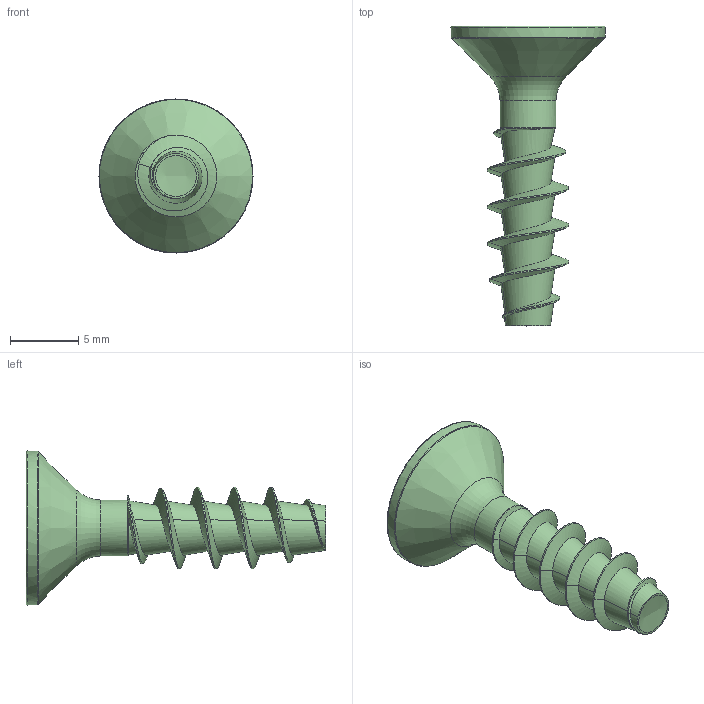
import cadquery as cq
import math

length = 22.0
head_radius = 11.3 / 2
rim_depth = 0.85
cone_angle = math.radians(45)
shank_radius = 2.05
shank_end = 7.45
neck_fillet = 2.5
rim_fillet = 0.1

dish_radius = 1.5
dish_depth = 0.15

pitch = 2.7
crest_start = 7.18
crest_radius = 3.0
crest_width = 0.1
head_flank_slope = 0.29
tip_flank_slope = 0.31
lead_in_radius = 2.36
lead_in_growth = 0.54
lead_in_rise = 3.0
lead_out_slope = 0.345
min_tooth_height = 0.02

floor_radius = 1.99
root_radius = 1.68
tip_radius = 1.645
floor_slope = 0.145
ramp_start_turn = 0.3
ramp_end_turn = 0.75

first_turn = -0.8
turn_count = 7
points_per_turn = 24
bore_radius = 0.8
core_radius = 1.6
collar_radius = 1.85
collar_length = 0.5
overlap = 0.02


def tip_taper(depth):
    """Radius of the tip cone at a depth."""
    return tip_radius + floor_slope * (length - depth)


def pitch_depth(turn):
    return crest_start + pitch * turn


def crest_depth(turn):
    return max(pitch_depth(turn), shank_end)


def crest_height(turn):
    """Crest radius: grows at the shank, stays constant, shrinks toward the tip."""
    growth = lead_in_growth if turn > 0 else lead_in_rise
    lead_in = max(lead_in_radius + growth * turn, floor_radius + min_tooth_height)
    lead_out = tip_radius + lead_out_slope * (length - crest_depth(turn))
    lead_out = max(lead_out, tip_taper(crest_depth(turn)) + min_tooth_height)
    return min(lead_in, crest_radius, lead_out)


def bore_corner(turn):
    return root_corner(turn)[0], bore_radius


def root_corner(turn):
    """Foot of the flank facing the head."""
    ramp = (turn - ramp_start_turn) / (ramp_end_turn - ramp_start_turn)
    ramp = min(max(ramp, 0), 1)
    radius = floor_radius + (root_radius - floor_radius) * ramp
    flank_run = head_flank_slope * (crest_height(turn) - radius)
    depth = pitch_depth(turn) - crest_width / 2 - flank_run
    return depth, min(radius, tip_taper(depth))


def head_crest_corner(turn):
    return crest_depth(turn) - crest_width / 2, crest_height(turn)


def tip_crest_corner(turn):
    return crest_depth(turn) + crest_width / 2, crest_height(turn)


def floor_corner(turn):
    """Foot of the flank facing the tip, where it meets the floor."""
    crest, top = tip_crest_corner(turn)
    run_to_floor = tip_flank_slope * (top - floor_radius)
    run_to_taper = (top - tip_taper(crest)) / (1 / tip_flank_slope - floor_slope)
    depth = crest + max(run_to_floor, run_to_taper)
    return depth, min(floor_radius, tip_taper(depth))


def helical_point(turn, corner):
    depth, radius = corner(turn)
    angle = math.pi / 2 + 2 * math.pi * turn
    return cq.Vector(radius * math.cos(angle), -depth, radius * math.sin(angle))


def helical_edges(corner, count):
    """One spline per turn along the path of a corner."""
    edges = []
    for index in range(count):
        start = first_turn + index
        turns = [start + step / points_per_turn for step in range(points_per_turn + 1)]
        edges.append(cq.Edge.makeSpline([helical_point(turn, corner) for turn in turns]))
    return edges


def end_cap(turn):
    """Flat radial face closing the helical body, from one root to the next."""
    corners = [bore_corner, root_corner, head_crest_corner, tip_crest_corner, floor_corner]
    points = [helical_point(turn, corner) for corner in corners]
    points += [helical_point(turn + 1, corner) for corner in (root_corner, bore_corner)]
    return cq.Face.makeFromWires(cq.Wire.makePolygon(points, close=True))


def trim_block(depth, direction):
    """Block that removes everything on one side of a depth; direction is along Y."""
    size = 4 * length
    return cq.Workplane("XY").box(size, size, size).translate((0, direction * size / 2 - depth, 0))


def threaded_body():
    """Tooth and floor as one hollow helical solid, trimmed at the shank and the tip."""
    ruled = cq.Face.makeRuledSurface
    bores = helical_edges(bore_corner, turn_count + 1)
    roots = helical_edges(root_corner, turn_count + 1)
    head_crests = helical_edges(head_crest_corner, turn_count)
    tip_crests = helical_edges(tip_crest_corner, turn_count)
    floors = helical_edges(floor_corner, turn_count)
    faces = [end_cap(first_turn), end_cap(first_turn + turn_count)]
    faces += [ruled(bores[0], roots[0]), ruled(bores[-1], roots[-1])]
    for index in range(turn_count):
        faces.append(ruled(roots[index], head_crests[index]))
        faces.append(ruled(head_crests[index], tip_crests[index]))
        faces.append(ruled(tip_crests[index], floors[index]))
        faces.append(ruled(floors[index], roots[index + 1]))
        faces.append(ruled(bores[index], bores[index + 1]))
    solid = cq.Solid.makeSolid(cq.Shell.makeShell(faces)).fix()
    thread = cq.Workplane(solid)
    return thread.cut(trim_block(shank_end - overlap, 1)).cut(trim_block(length, -1))


def plain_body():
    """Head, neck, shank and core, turned around Y."""
    tangent_radius = shank_radius + neck_fillet * (1 - math.cos(cone_angle))
    tangent_depth = rim_depth + (head_radius - tangent_radius) / math.tan(cone_angle)
    neck_end = tangent_depth + neck_fillet * math.sin(cone_angle)
    middle_radius = shank_radius + neck_fillet * (1 - math.cos(cone_angle / 2))
    middle_depth = neck_end - neck_fillet * math.sin(cone_angle / 2)
    body = (
        cq.Workplane("XY")
        .lineTo(head_radius, 0)
        .lineTo(head_radius, -rim_depth)
        .lineTo(tangent_radius, -tangent_depth)
        .threePointArc((middle_radius, -middle_depth), (shank_radius, -neck_end))
        .lineTo(shank_radius, -shank_end)
        .lineTo(collar_radius, -shank_end)
        .lineTo(core_radius, -shank_end - collar_length)
        .lineTo(core_radius, -length)
        .lineTo(0, -length)
        .close()
        .revolve(360, (0, 0, 0), (0, 1, 0))
    )
    rim_zone = cq.selectors.BoxSelector(
        (-shank_radius, -rim_depth - rim_fillet, -shank_radius),
        (shank_radius, rim_fillet, shank_radius),
    )
    return body.edges(rim_zone).edges("%CIRCLE").fillet(rim_fillet)


def tip_dish():
    """Sphere that hollows the tip face."""
    sphere_radius = (dish_radius**2 + dish_depth**2) / (2 * dish_depth)
    return cq.Workplane("XY").sphere(sphere_radius).translate((0, dish_depth - length - sphere_radius, 0))


result = plain_body().union(threaded_body()).cut(tip_dish())